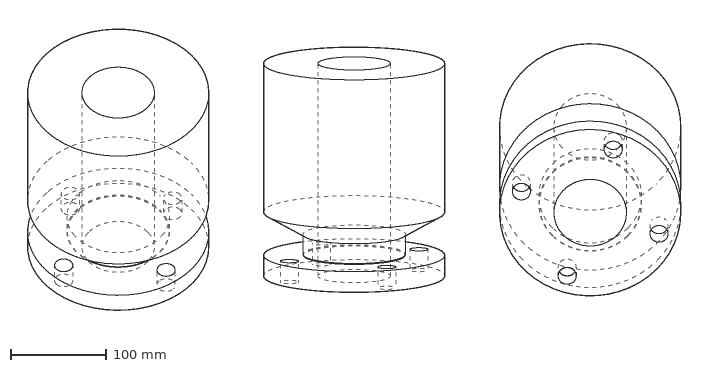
import cadquery as cq

body_diameter = 190.5
neck_diameter = 107.95
bore_diameter = 76.2

flange_thickness = 22.225
neck_height = 22.225
cone_height = 23.8125
body_height = 158.75

undercut_depth = 0.6
undercut_height = 1.08

bolt_hole_diameter = 19.05
bolt_circle_diameter = 152.4
bolt_hole_count = 4

body_radius = body_diameter / 2
neck_radius = neck_diameter / 2
bore_radius = bore_diameter / 2
neck_top = flange_thickness + neck_height
cone_top = neck_top + cone_height
undercut_radius = neck_radius - undercut_depth
undercut_top = flange_thickness + undercut_height
cone_slope = cone_height / (body_radius - neck_radius)
undercut_roof_start = undercut_top - undercut_depth * cone_slope
overall_height = cone_top + body_height


def make_turned_body():
    """Flange, undercut neck, cone and heavy body with a through bore, revolved about Z."""
    half_section = (
        cq.Workplane("XZ")
        .moveTo(bore_radius, 0)
        .lineTo(body_radius, 0)
        .lineTo(body_radius, flange_thickness)
        .lineTo(undercut_radius, flange_thickness)
        .lineTo(undercut_radius, undercut_roof_start)
        .lineTo(neck_radius, undercut_top)
        .lineTo(neck_radius, neck_top)
        .lineTo(body_radius, cone_top)
        .lineTo(body_radius, overall_height)
        .lineTo(bore_radius, overall_height)
        .close()
    )
    return half_section.revolve(360, (0, 0, 0), (0, 1, 0))


def make_bolt_holes():
    """Cutters for the bolt holes through the flange, centred on the X and Y axes."""
    return (
        cq.Workplane("XY")
        .polarArray(bolt_circle_diameter / 2, 0, 360, bolt_hole_count)
        .circle(bolt_hole_diameter / 2)
        .extrude(flange_thickness)
    )


result = make_turned_body().cut(make_bolt_holes())